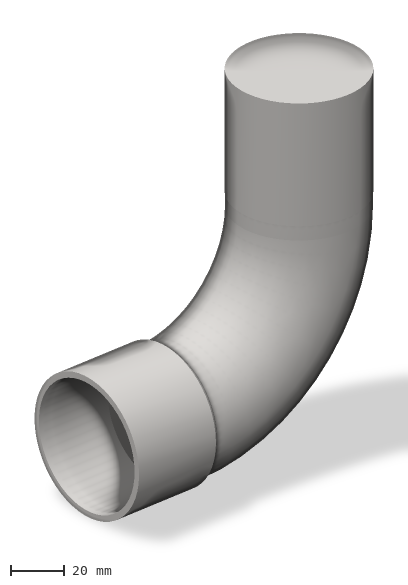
import cadquery as cq

total_depth = 132.7
total_height = 152.2
socket_diameter = 59.0
bore_diameter = 54.0
spigot_diameter = 55.4
bend_diameter = 55.1

socket_length = 38.0
taper_length = 2.3
bore_depth = 34.0
spigot_length = 51.9

bend_radius = total_depth - socket_length - taper_length - spigot_diameter / 2
neck_length = total_height - socket_diameter / 2 - bend_radius - spigot_length

taper_end = -taper_length
socket_mouth = taper_end - socket_length
spigot_base = bend_radius + neck_length


def make_bend():
    """Quarter-circle elbow from the horizontal socket up to the vertical neck."""
    return (
        cq.Workplane("XZ")
        .circle(bend_diameter / 2)
        .revolve(90, (-1.5, bend_radius, 0), (1.5, bend_radius, 0))
    )


def make_neck_and_spigot():
    """Straight vertical neck carrying the solid spigot."""
    neck = (
        cq.Workplane("XY", origin=(0, bend_radius, bend_radius))
        .circle(bend_diameter / 2)
        .extrude(neck_length)
    )
    spigot = (
        cq.Workplane("XY", origin=(0, bend_radius, spigot_base))
        .circle(spigot_diameter / 2)
        .extrude(spigot_length)
    )
    return neck.union(spigot)


def make_socket():
    """Tapered collar and blind-bored socket, revolved about the Y axis."""
    bore_floor = socket_mouth + bore_depth
    return (
        cq.Workplane("XY")
        .moveTo(0, 0)
        .lineTo(bend_diameter / 2, 0)
        .lineTo(socket_diameter / 2, taper_end)
        .lineTo(socket_diameter / 2, socket_mouth)
        .lineTo(bore_diameter / 2, socket_mouth)
        .lineTo(bore_diameter / 2, bore_floor)
        .lineTo(0, bore_floor)
        .close()
        .revolve(360, (0, 0, 0), (0, 1, 0))
    )


result = make_bend().union(make_neck_and_spigot()).union(make_socket())